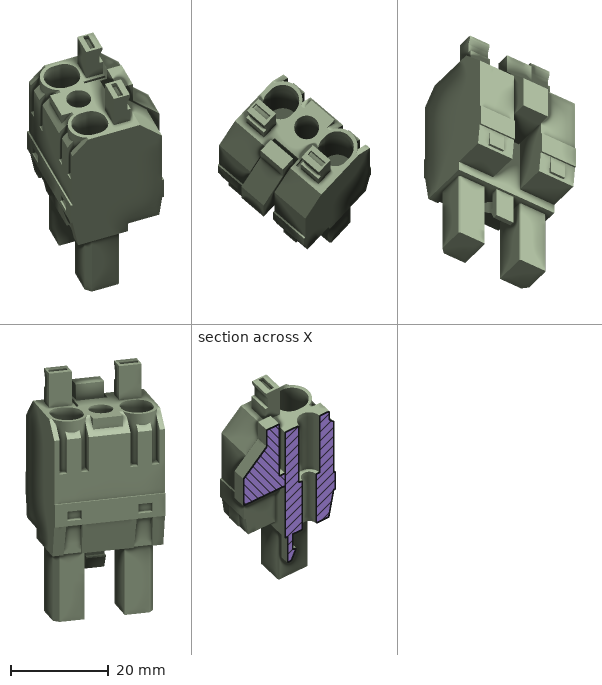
import cadquery as cq


housing_width = 23.75
front_y = 0.35
rear_y = 20.2
top_z = 44.65
front_chamfer = 3.5
rear_chamfer = 4.9
bottom_z = 15.4
rear_bottom_z = 17.6
foot_front_y = 1.6
foot_rear_y = 19.6

band_bottom_z = 22.3
band_top_z = 27.25
band_step = front_y
band_rear_y = rear_y + band_step

slot_width = 6.65
slot_floor_y = 12.65

barrel_x = 7.6
barrel_y = 5.3
barrel_radius = 3.95
barrel_bottom_z = 33.65
bore_x = 7.5
bore_width = 6.8
bore_front_y = 2.15
bore_rear_y = 9.65
bore_outer_corner = 2.9
bore_inner_corner = 3.2
bore_depth = 15.65
groove_span = 6.25
groove_rib_width = 3.0

pad_width = 6.35
pad_front_y = 1.5
pad_rear_y = front_y + front_chamfer
pad_bottom_z = top_z - front_chamfer + pad_front_y - front_y

screw_y = 6.55
screw_radius = 1.7
screw_head_radius = 2.55
screw_head_depth = 15.65

slit_left_x = -4.4
slit_width = 0.55
slit_front_y = 9.45
slit_length = 4.7
slit_depth = 1.05

window_width = 3.0
window_height = 2.05
window_bottom_z = 23.45
window_depth = 1.2

recess_x = 7.55
recess_top_width = 3.5
recess_bottom_width = 3.9
recess_floor_y = 2.2
rear_rib_bottom_z = 18.3

leg_inner_x = 4.3
leg_outer_x = 10.8
leg_front_y = 3.95
leg_rear_y = 11.25
leg_front_chamfer = 1.15
leg_rear_chamfer = 0.25

tab_width = 4.15
tab_rear_y = 12.1
tab_front_y = 10.65
tab_bottom_z = 8.35
barb_front_y = 9.85
barb_top_z = 11.3
barb_edge_height = 0.3
barb_taper = 1.2

button_x = 7.5
button_width = 4.85
button_front_y = 10.3
button_rear_y = 14.0
button_top_z = 52.1
button_step_z = 48.0
button_neck_y = 13.3
button_neck_top_z = 50.15
button_lip_y = 13.85
button_lip_bottom_z = 51.4
button_slot_x = 7.6
button_slot_length = 3.95
button_slot_width = 1.15
button_slot_y = 12.0
button_slot_depth = 1.05

latch_width = 6.1
latch_front_y = 14.1
latch_block_rear_y = 17.3
latch_rear_y = 23.2
latch_top_z = 47.7
latch_slope_bottom_z = 37.2
latch_slope_top_z = latch_slope_bottom_z + latch_rear_y - latch_block_rear_y
latch_bottom_z = 29.75
latch_foot_top_z = 33.35

SIDES = (-1, 1)


def block(x_min, x_max, y_min, y_max, z_min, z_max):
    """Box given by its limits along each axis."""
    size = (x_max - x_min, y_max - y_min, z_max - z_min)
    return cq.Workplane("XY").box(*size, centered=False).translate((x_min, y_min, z_min))


def centred_block(x, width, y_min, y_max, z_min, z_max):
    """Box centred on x, with limits along Y and Z."""
    return block(x - width / 2, x + width / 2, y_min, y_max, z_min, z_max)


def profile_solid(points, x, width):
    """Side profile of (y, z) points, extruded along X and centred on x."""
    return cq.Workplane("YZ").polyline(points).close().extrude(width / 2, both=True).translate((x, 0, 0))


def make_shell():
    """Housing block with its chamfers, band, lower tapers and stepped bottom."""
    profile = [
        (front_y + front_chamfer, top_z),
        (front_y, top_z - front_chamfer),
        (front_y, band_top_z),
        (0, band_top_z),
        (0, band_bottom_z),
        (front_y, band_bottom_z),
        (foot_front_y, bottom_z),
        (slot_floor_y, bottom_z),
        (slot_floor_y, rear_bottom_z),
        (foot_rear_y, rear_bottom_z),
        (rear_y, band_bottom_z),
        (band_rear_y, band_bottom_z),
        (band_rear_y, band_top_z),
        (rear_y, band_top_z),
        (rear_y, top_z - rear_chamfer),
        (rear_y - rear_chamfer, top_z),
    ]
    return profile_solid(profile, 0, housing_width)


def make_bore(side):
    """Blind bore with a semicircular front and a rear flat between two rounded corners."""
    outer_x = bore_x + bore_width / 2
    inner_x = bore_x - bore_width / 2
    front_arc_y = bore_front_y + bore_width / 2
    bore = (
        cq.Workplane("XY", origin=(0, 0, top_z))
        .moveTo(inner_x + bore_inner_corner, bore_rear_y)
        .lineTo(outer_x - bore_outer_corner, bore_rear_y)
        .tangentArcPoint((outer_x, bore_rear_y - bore_outer_corner), relative=False)
        .lineTo(outer_x, front_arc_y)
        .threePointArc((bore_x, bore_front_y), (inner_x, front_arc_y))
        .lineTo(inner_x, bore_rear_y - bore_inner_corner)
        .tangentArcPoint((inner_x + bore_inner_corner, bore_rear_y), relative=False)
        .close()
        .extrude(-bore_depth)
    )
    if side < 0:
        bore = bore.mirror("YZ")
    return bore


def add_barrel(body, side):
    """Round barrel at the top front, with a groove on each side of a central rib and a bore."""
    x = side * barrel_x
    grooves = centred_block(x, groove_span, front_y, barrel_y, barrel_bottom_z, top_z)
    rib = centred_block(x, groove_rib_width, front_y, barrel_y, barrel_bottom_z, top_z)
    barrel = (
        cq.Workplane("XY", origin=(x, barrel_y, barrel_bottom_z))
        .circle(barrel_radius)
        .extrude(top_z - barrel_bottom_z)
    )
    return body.cut(grooves.cut(rib)).union(barrel).cut(make_bore(side))


def make_recess(side):
    """Vertical-backed recess in the front taper, slightly wider towards the bottom."""
    half_top = recess_top_width / 2
    half_bottom = recess_bottom_width / 2
    return (
        cq.Workplane("XZ", origin=(side * recess_x, 0, 0))
        .moveTo(-half_top, band_bottom_z)
        .lineTo(half_top, band_bottom_z)
        .lineTo(half_bottom, bottom_z)
        .lineTo(-half_bottom, bottom_z)
        .close()
        .extrude(-recess_floor_y)
    )


def make_leg(side):
    """Contact leg with a chamfered outer front edge and small chamfers on its rear edges."""
    leg = block(leg_inner_x, leg_outer_x, leg_front_y, leg_rear_y, 0, bottom_z)
    leg = leg.edges("|Z and >X and <Y").chamfer(leg_front_chamfer)
    leg = leg.edges("|Z and >Y").chamfer(leg_rear_chamfer)
    if side < 0:
        leg = leg.mirror("YZ")
    return leg


def make_tab():
    """Snap tab under the housing, with a tapered barb facing forward."""
    profile = [
        (tab_rear_y, bottom_z),
        (tab_rear_y, tab_bottom_z),
        (barb_front_y + barb_taper, tab_bottom_z),
        (barb_front_y, barb_top_z - barb_edge_height),
        (barb_front_y, barb_top_z),
        (tab_front_y, barb_top_z),
        (tab_front_y, bottom_z),
    ]
    return profile_solid(profile, 0, tab_width)


def make_housing():
    body = make_shell()
    body = body.cut(centred_block(0, slot_width, slot_floor_y, band_rear_y, bottom_z, top_z))
    body = body.union(centred_block(0, pad_width, pad_front_y, pad_rear_y, pad_bottom_z, top_z))
    for side in SIDES:
        window_top_z = window_bottom_z + window_height
        body = add_barrel(body, side)
        body = body.cut(
            centred_block(side * barrel_x, window_width, 0, window_depth, window_bottom_z, window_top_z)
        )
        body = body.cut(make_recess(side))
        body = body.union(
            centred_block(
                side * recess_x, recess_top_width, slot_floor_y, rear_y, rear_rib_bottom_z, band_bottom_z
            )
        )
        body = body.union(make_leg(side))

    screw_axis = cq.Workplane("XY", origin=(0, screw_y, top_z))
    body = body.cut(screw_axis.circle(screw_radius).extrude(bottom_z - top_z))
    body = body.cut(screw_axis.circle(screw_head_radius).extrude(-screw_head_depth))

    slit_rear_y = slit_front_y + slit_length
    slit_right_x = slit_left_x + slit_width
    body = body.cut(block(slit_left_x, slit_right_x, slit_front_y, slit_rear_y, top_z - slit_depth, top_z))
    return body.union(make_tab())


def make_button(side):
    """Push button standing on the housing, with a necked rear side and a screwdriver slot."""
    profile = [
        (button_front_y, top_z),
        (button_rear_y, top_z),
        (button_rear_y, button_step_z),
        (button_neck_y, button_step_z),
        (button_neck_y, button_neck_top_z),
        (button_lip_y, button_lip_bottom_z),
        (button_lip_y, button_top_z),
        (button_front_y, button_top_z),
    ]
    slot = centred_block(
        side * button_slot_x,
        button_slot_length,
        button_slot_y - button_slot_width / 2,
        button_slot_y + button_slot_width / 2,
        button_top_z - button_slot_depth,
        button_top_z,
    )
    return profile_solid(profile, side * button_x, button_width).cut(slot)


def make_latch():
    """Release latch in the rear slot, resting against the slot floor with its foot."""
    profile = [
        (latch_front_y, latch_top_z),
        (latch_block_rear_y, latch_top_z),
        (latch_block_rear_y, latch_slope_top_z),
        (latch_rear_y, latch_slope_bottom_z),
        (latch_rear_y, latch_bottom_z),
        (slot_floor_y, latch_bottom_z),
        (slot_floor_y, latch_foot_top_z),
        (latch_front_y, latch_foot_top_z),
    ]
    return profile_solid(profile, 0, latch_width)


housing = make_housing()
buttons = [make_button(side) for side in SIDES]
latch = make_latch()

result = cq.Compound.makeCompound([housing.val(), *[button.val() for button in buttons], latch.val()])